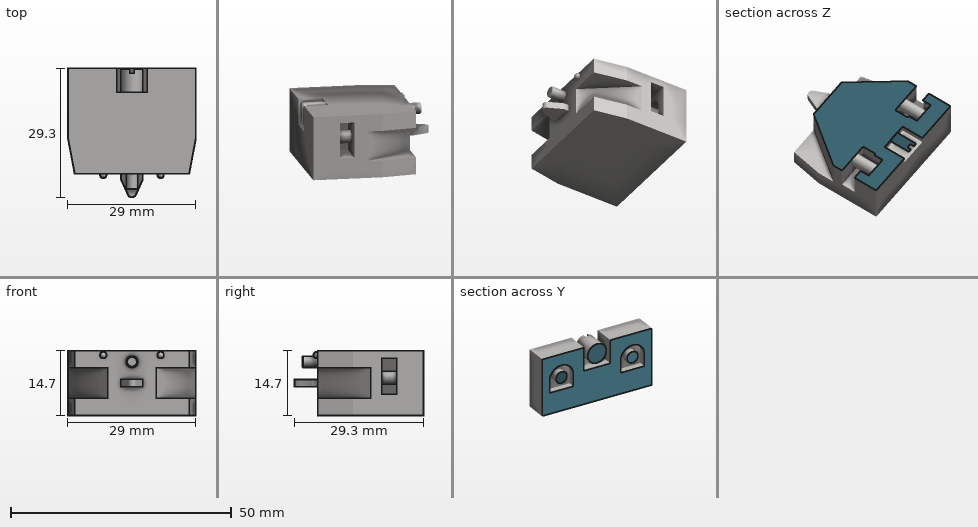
import cadquery as cq
import math


OVERALL_LENGTH = 29.3
TONGUE_LENGTH = 5.3
WIDTH = 29.0
HEIGHT = 14.7
DEPTH = OVERALL_LENGTH - TONGUE_LENGTH
FRONT_Y = -DEPTH
FRONT_WIDTH = 26.0
TAPER_START = 16.0
MID_HEIGHT = HEIGHT / 2

GROOVE_HEIGHT = 6.91
GROOVE_START = 11.98
GROOVE_GAP = 11.0

HEAD_DIAMETER = 5.0
SHANK_DIAMETER = 2.6
SCREW_Z = HEIGHT - HEAD_DIAMETER / 2
HEAD_SETBACK = 0.23
SHANK_PROJECTION = 3.52
SHANK_CHAMFER = 0.2
DRIVER_SLOT_WIDTH = 1.0
DRIVER_SLOT_DEPTH = 1.0
NOTCH_WIDTH = 6.91
NOTCH_DEPTH = 5.48
NOTCH_FLOOR_Z = SCREW_Z - NOTCH_WIDTH / 2

PIN_DIAMETER = 3.0
PIN_X = 9.38
PIN_Z = 8.6
ARCH_RADIUS = 3.08
ARCH_DEPTH = 2.25
WINDOW_START = 6.12
WINDOW_LENGTH = 3.4
WINDOW_BOTTOM = 4.8
WINDOW_TOP = 13.05
WINDOW_INNER_X = PIN_X - ARCH_RADIUS
PIN_LENGTH = ARCH_DEPTH + WINDOW_LENGTH

TONGUE_WIDTH = 5.0
TONGUE_THICKNESS = 1.67
TONGUE_SHOULDER = 1.23
TONGUE_CORNER_RADIUS = 1.0
TONGUE_TIP_RADIUS = 1.0

STUD_DIAMETER = 1.5
STUD_NECK = 0.23
STUD_X = 6.5
STUD_Z = 13.7

SIDES = (-1, 1)


def box(x_range, y_range, z_range):
    """Axis-aligned box between pairs of limits."""
    lows, highs = zip(x_range, y_range, z_range)
    sizes = [high - low for low, high in zip(lows, highs)]
    return cq.Workplane("XY").box(*sizes, centered=False).translate(lows)


def rod(diameter, length, x, start_y, z):
    """Cylinder that runs from start_y towards -Y."""
    return cq.Workplane("XZ", origin=(x, start_y, z)).circle(diameter / 2).extrude(length)


def make_block():
    """Plain block whose sides narrow towards the mating face."""
    half_back = WIDTH / 2
    half_front = FRONT_WIDTH / 2
    outline = [
        (-half_back, 0),
        (half_back, 0),
        (half_back, -TAPER_START),
        (half_front, FRONT_Y),
        (-half_front, FRONT_Y),
        (-half_back, -TAPER_START),
    ]
    return cq.Workplane("XY").polyline(outline).close().extrude(HEIGHT)


def make_groove(side):
    """Triangular prism that opens a side groove towards the mating face."""
    outer_x = side * WIDTH / 2
    corners = [
        (outer_x, -GROOVE_START),
        (side * GROOVE_GAP / 2, FRONT_Y),
        (outer_x, FRONT_Y),
    ]
    base = cq.Workplane("XY", origin=(0, 0, MID_HEIGHT - GROOVE_HEIGHT / 2))
    return base.polyline(corners).close().extrude(GROOVE_HEIGHT)


def make_window(side):
    """Rectangular side opening with an arched pocket in its back wall."""
    x_range = sorted((side * WIDTH / 2, side * WINDOW_INNER_X))
    y_range = (-WINDOW_START - WINDOW_LENGTH, -WINDOW_START)
    window = box(x_range, y_range, (WINDOW_BOTTOM, WINDOW_TOP))
    pocket = (
        cq.Workplane("XZ", origin=(side * PIN_X, -WINDOW_START, PIN_Z))
        .moveTo(-ARCH_RADIUS, -ARCH_RADIUS)
        .lineTo(ARCH_RADIUS, -ARCH_RADIUS)
        .lineTo(ARCH_RADIUS, 0)
        .threePointArc((0, ARCH_RADIUS), (-ARCH_RADIUS, 0))
        .close()
        .extrude(-ARCH_DEPTH)
    )
    return window.union(pocket)


def make_tongue():
    """Flat guide tongue with a tapered, rounded end."""
    half_width = TONGUE_WIDTH / 2
    shoulder_y = FRONT_Y - TONGUE_SHOULDER
    tip_y = FRONT_Y - TONGUE_LENGTH
    tip_center_y = tip_y + TONGUE_TIP_RADIUS

    run = shoulder_y - tip_center_y
    corner_distance = math.hypot(half_width, run)
    tangent_angle = math.acos(TONGUE_TIP_RADIUS / corner_distance)
    taper_angle = math.atan2(run, half_width) - tangent_angle
    tangent_x = TONGUE_TIP_RADIUS * math.cos(taper_angle)
    tangent_y = tip_center_y + TONGUE_TIP_RADIUS * math.sin(taper_angle)

    blade = (
        cq.Workplane("XY", origin=(0, 0, MID_HEIGHT - TONGUE_THICKNESS / 2))
        .moveTo(-half_width, FRONT_Y)
        .lineTo(-half_width, shoulder_y)
        .lineTo(-tangent_x, tangent_y)
        .threePointArc((0, tip_y), (tangent_x, tangent_y))
        .lineTo(half_width, shoulder_y)
        .lineTo(half_width, FRONT_Y)
        .close()
        .extrude(TONGUE_THICKNESS)
    )
    for side in SIDES:
        corner = cq.selectors.NearestToPointSelector((side * half_width, shoulder_y, MID_HEIGHT))
        blade = blade.edges("|Z").edges(corner).fillet(TONGUE_CORNER_RADIUS)
    return blade


def make_stud(side):
    """Short round stud with a hemispherical end."""
    neck = rod(STUD_DIAMETER, STUD_NECK, side * STUD_X, FRONT_Y, STUD_Z)
    dome_center = (side * STUD_X, FRONT_Y - STUD_NECK, STUD_Z)
    dome = cq.Workplane("XY").sphere(STUD_DIAMETER / 2).translate(dome_center)
    return neck.union(dome)


def make_housing():
    """Block with its cuts, carrying the studs and the tongue."""
    housing = make_block()
    notch = box(
        (-NOTCH_WIDTH / 2, NOTCH_WIDTH / 2), (-NOTCH_DEPTH, 0), (NOTCH_FLOOR_Z, HEIGHT)
    )
    housing = housing.cut(notch)
    housing = housing.cut(rod(SHANK_DIAMETER, DEPTH, 0, 0, SCREW_Z))
    for side in SIDES:
        housing = housing.cut(make_groove(side)).cut(make_window(side))
        housing = housing.union(make_stud(side))
    return housing.union(make_tongue())


def make_screw():
    """Slotted screw whose head rests against the end of the notch."""
    head_length = NOTCH_DEPTH - HEAD_SETBACK
    shank_length = DEPTH - NOTCH_DEPTH + SHANK_PROJECTION
    head = rod(HEAD_DIAMETER, head_length, 0, -HEAD_SETBACK, SCREW_Z)
    slot = box(
        (-DRIVER_SLOT_WIDTH / 2, DRIVER_SLOT_WIDTH / 2),
        (-HEAD_SETBACK - DRIVER_SLOT_DEPTH, -HEAD_SETBACK),
        (SCREW_Z - HEAD_DIAMETER / 2, SCREW_Z + HEAD_DIAMETER / 2),
    )
    shank = rod(SHANK_DIAMETER, shank_length, 0, -NOTCH_DEPTH, SCREW_Z)
    shank = shank.faces("<Y").chamfer(SHANK_CHAMFER)
    return head.cut(slot).union(shank)


def make_pin(side):
    """Round pin that crosses a side window from the end of its arched pocket."""
    return rod(PIN_DIAMETER, PIN_LENGTH, side * PIN_X, ARCH_DEPTH - WINDOW_START, PIN_Z)


housing = make_housing()
screw = make_screw()
pins = [make_pin(side) for side in SIDES]

result = cq.Compound.makeCompound([housing.val(), screw.val(), *[pin.val() for pin in pins]])